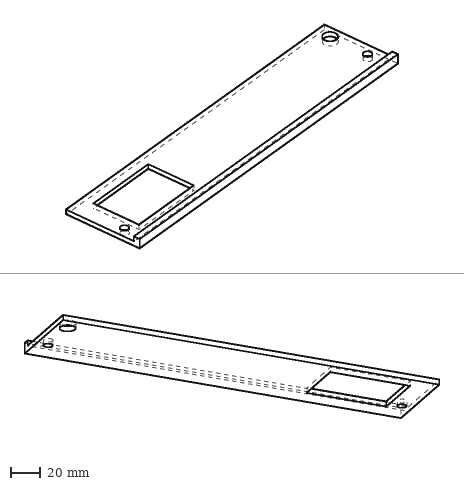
import cadquery as cq

width = 65.0
length = 282.0
height = 8.0

plate_thickness = 4.0
lip_width = 5.0

screw_hole_diameter = 6.5
screw_hole_lip_gap = 11.5
screw_hole_x = width - lip_width - screw_hole_lip_gap - screw_hole_diameter / 2
front_hole_y = 8.2
hole_spacing = 265.0
rear_hole_y = front_hole_y + hole_spacing

large_hole_diameter = 11.0
large_hole_edge_gap = 6.5
large_hole_x = large_hole_edge_gap + large_hole_diameter / 2

window_width = 40.0
window_length = 59.8
window_left = 10.2
window_front = 17.5


def block(size_x, size_y, size_z, left, front):
    """Block resting on Z = 0 with its lower left corner at (left, front)."""
    return cq.Workplane("XY").box(size_x, size_y, size_z, centered=False).translate((left, front, 0))


def round_cutter(diameter, x, y):
    """Cylinder that passes through the full height of the part."""
    return cq.Workplane("XY").center(x, y).circle(diameter / 2).extrude(height)


plate = block(width, length, plate_thickness, 0, 0)
lip = block(lip_width, length, height, width - lip_width, 0)
result = plate.union(lip)

result = result.cut(block(window_width, window_length, height, window_left, window_front))

for screw_hole_y in (front_hole_y, rear_hole_y):
    result = result.cut(round_cutter(screw_hole_diameter, screw_hole_x, screw_hole_y))
result = result.cut(round_cutter(large_hole_diameter, large_hole_x, rear_hole_y))